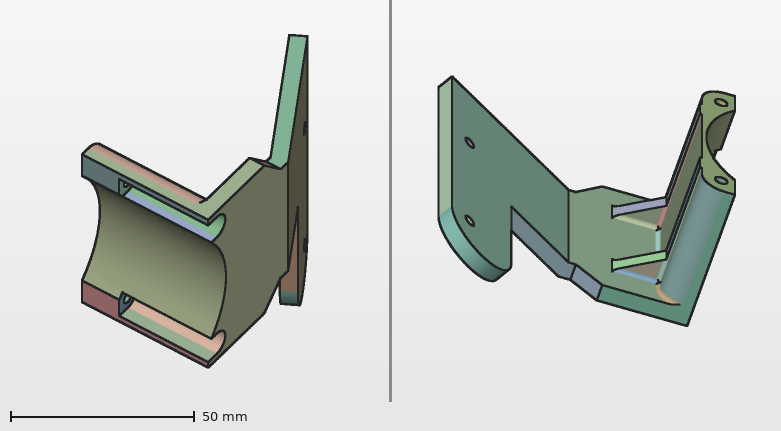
import cadquery as cq
import math

saddle_length = 42.5
total_height = 94.3
saddle_height = 56.9
saddle_depth = 9.4
saddle_corner_radius = 6.5
bore_opening = 40.3
bore_depth = 8.2
wall_thickness = 5.0
blend_radius = 1.1

screw_diameter = 3.5
screw_edge_distance = 6.0
screw_y = 4.0
channel_width = 7.8
channel_start = 12.5

gusset_width = 5.1
gusset_edge_distance = 13.0
gusset_end_y = 23.0
gusset_angle = 30.0
ridge_height = 0.6

taper_start_y = 25.8
taper_size = 7.5
bend_y = 35.4
bend_angle = 30.0
total_depth = 78.8
arm_width = 24.0
plate_hole_diameter = 3.4
plate_hole_edge_distance = 7.2
plate_hole_heights = (13.4, 58.4)

saddle_bottom = total_height - saddle_height
middle_z = total_height - saddle_height / 2
wall_x = saddle_length - wall_thickness
plate_top = total_height - taper_size
plate_bottom = saddle_bottom + taper_size
corner_y = saddle_depth - saddle_corner_radius
bend = math.radians(bend_angle)
plate_length = (total_depth - bend_y - wall_thickness * math.sin(bend)) / math.cos(bend)


def mirrored_offsets(edge_distance):
    """Heights of a feature pair, one at each end of the saddle."""
    return total_height - edge_distance, saddle_bottom + edge_distance


def saddle_block():
    """Block along X with both corners rounded on the +Y side."""
    return (
        cq.Workplane("YZ")
        .moveTo(0, saddle_bottom)
        .lineTo(corner_y, saddle_bottom)
        .radiusArc((saddle_depth, saddle_bottom + saddle_corner_radius), -saddle_corner_radius)
        .lineTo(saddle_depth, total_height - saddle_corner_radius)
        .radiusArc((corner_y, total_height), -saddle_corner_radius)
        .lineTo(0, total_height)
        .close()
        .extrude(saddle_length)
    )


def blend_profile(plane, side_u, base_v):
    """Concave triangle filling the corner on the -u side of side_u and the +v side of base_v."""
    return (
        plane.moveTo(side_u, base_v)
        .lineTo(side_u, base_v + blend_radius)
        .radiusArc((side_u - blend_radius, base_v), blend_radius)
        .close()
    )


def saddle_blend():
    """Concave blend where the rounded saddle back meets the wall."""
    straight = saddle_height - 2 * saddle_corner_radius
    straight_plane = cq.Workplane("XY", origin=(0, 0, saddle_bottom + saddle_corner_radius))
    blend = blend_profile(straight_plane, wall_x, saddle_depth).extrude(straight)
    for corner_z in mirrored_offsets(saddle_corner_radius):
        corner_plane = cq.Workplane("XY", origin=(0, 0, corner_z))
        ring = blend_profile(corner_plane, wall_x, saddle_depth).revolve(
            360, (0, corner_y, 0), (1, corner_y, 0)
        )
        outward = 1 if corner_z > middle_z else -1
        quarter = cq.Workplane("XY").box(
            saddle_length, saddle_depth, saddle_corner_radius, centered=(False, False, True)
        ).translate((0, corner_y, corner_z + outward * saddle_corner_radius / 2))
        blend = blend.union(ring.intersect(quarter))
    return blend


def flared_profile(plane, base, tip, height):
    """Gusset section reaching from base to tip, with concave flares at its foot."""
    half = gusset_width / 2
    foot = half + blend_radius
    shoulder = base + math.copysign(blend_radius, tip - base)
    bulge = shoulder - base
    return (
        plane.moveTo(base, height - foot)
        .radiusArc((shoulder, height - half), bulge)
        .lineTo(tip, height - half)
        .lineTo(tip, height + half)
        .lineTo(shoulder, height + half)
        .radiusArc((base, height + foot), bulge)
        .close()
    )


def gusset(height):
    """Sloped gusset that continues as a low ridge along the saddle back."""
    slope = math.tan(math.radians(gusset_angle))
    ridge_y = saddle_depth + ridge_height
    gusset_x = wall_x - (gusset_end_y - ridge_y) * slope
    envelope = (
        cq.Workplane("XY")
        .polyline([
            (0, saddle_depth), (0, ridge_y), (gusset_x, ridge_y),
            (wall_x, gusset_end_y), (wall_x, saddle_depth),
        ])
        .close()
        .extrude(total_height)
    )
    from_saddle = flared_profile(cq.Workplane("YZ"), saddle_depth, gusset_end_y, height).extrude(wall_x)
    from_wall = flared_profile(
        cq.Workplane("XZ", origin=(0, saddle_depth, 0)), wall_x, gusset_x, height
    ).extrude(saddle_depth - gusset_end_y)
    return from_saddle.union(from_wall).intersect(envelope)


def bent_wall():
    """Upright wall, tapered to the plate height, then bent towards -X."""
    bend_overlap = wall_thickness * math.tan(bend / 2)
    bend_outer_y = bend_y + bend_overlap
    flat = (
        cq.Workplane("YZ", origin=(wall_x, 0, 0))
        .polyline([
            (0, saddle_bottom), (taper_start_y, saddle_bottom),
            (taper_start_y + taper_size, plate_bottom), (bend_outer_y, plate_bottom),
            (bend_outer_y, plate_top), (taper_start_y + taper_size, plate_top),
            (taper_start_y, total_height), (0, total_height),
        ])
        .close()
        .extrude(wall_thickness)
    )
    past_bend = (
        cq.Workplane("XY")
        .polyline([(wall_x, bend_y), (saddle_length, bend_outer_y), (wall_x, bend_outer_y)])
        .close()
        .extrude(total_height)
    )
    flat = flat.cut(past_bend)

    arm_radius = arm_width / 2
    arm_start = plate_length - arm_width
    plate = (
        cq.Workplane("YZ")
        .moveTo(-bend_overlap, plate_bottom)
        .lineTo(arm_start, plate_bottom)
        .lineTo(arm_start, arm_radius)
        .threePointArc((arm_start + arm_radius, 0), (plate_length, arm_radius))
        .lineTo(plate_length, plate_top)
        .lineTo(-bend_overlap, plate_top)
        .close()
        .extrude(wall_thickness)
    )
    hole_places = [(plate_length - plate_hole_edge_distance, z) for z in plate_hole_heights]
    holes = (
        cq.Workplane("YZ").pushPoints(hole_places).circle(plate_hole_diameter / 2).extrude(wall_thickness)
    )
    before_bend = (
        cq.Workplane("XY")
        .polyline([(0, 0), (0, -bend_overlap), (wall_thickness, -bend_overlap)])
        .close()
        .extrude(total_height)
    )
    plate = plate.cut(holes).cut(before_bend)
    plate = plate.rotate((0, 0, 0), (0, 0, 1), bend_angle).translate((wall_x, bend_y, 0))
    return flat.union(plate)


def bore():
    """Shallow cylindrical seat along X, open towards -Y."""
    radius = ((bore_opening / 2) ** 2 + bore_depth ** 2) / (2 * bore_depth)
    return (
        cq.Workplane("YZ").center(bore_depth - radius, middle_z).circle(radius).extrude(saddle_length)
    )


def nut_channel(height):
    """Round-bottomed channel around the screw axis, open at -Y and +X."""
    radius = channel_width / 2
    return (
        cq.Workplane("YZ", origin=(channel_start, 0, 0))
        .moveTo(0, height - radius)
        .lineTo(screw_y, height - radius)
        .threePointArc((screw_y + radius, height), (screw_y, height + radius))
        .lineTo(0, height + radius)
        .close()
        .extrude(saddle_length - channel_start)
    )


def screw_hole(height):
    """Screw clearance along the whole saddle and through the wall."""
    return (
        cq.Workplane("YZ").center(screw_y, height).circle(screw_diameter / 2).extrude(saddle_length)
    )


result = bent_wall().union(saddle_block()).union(saddle_blend())
for gusset_z in mirrored_offsets(gusset_edge_distance):
    result = result.union(gusset(gusset_z))
result = result.cut(bore())
for screw_z in mirrored_offsets(screw_edge_distance):
    result = result.cut(nut_channel(screw_z)).cut(screw_hole(screw_z))